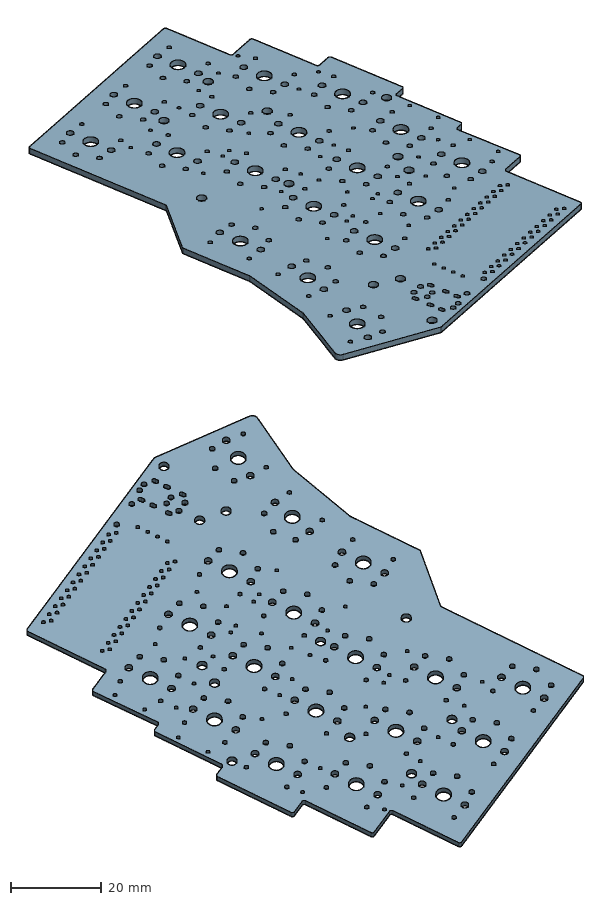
import cadquery as cq
import math


width = 112.4
depth = 88.7
thickness = 1.6

key_area_bottom = 23.4
first_column_top = 76.6
second_column_top = 84.3
fourth_column_top = 85.3
fifth_column_top_left = 82.7
fifth_column_top_right = 83.0
controller_top = 76.3

second_column_left = 18.0
third_column_left = 36.0
fourth_column_left = 56.0
fifth_column_left = 74.1
controller_left = 91.5

thumb_slope_top = (37.1, key_area_bottom)
thumb_area_bottom = 12.6
thumb_first_left = 48.9
thumb_second_left = 67.0
thumb_third_left = (84.4, 8.1)
controller_bottom = 21.2

corner_radius = 0.51
tip_radius = 1.3
tip_arc_centre_x = 99.0
tip_tilt = math.radians(30)
tip = (
    tip_arc_centre_x + tip_radius * (math.cos(tip_tilt) - math.sin(tip_tilt)),
    tip_radius * (1 - math.cos(tip_tilt) - math.sin(tip_tilt)),
)

column_bottom_ys = [33.0, 40.6, 45.0, 41.6, 39.2]
column_count = len(column_bottom_ys)
row_count = 3
first_column_x = 10.1
columns_span = 72.0
rows_span = 34.0
column_pitch = columns_span / (column_count - 1)
row_pitch = rows_span / (row_count - 1)

thumb_keys = [
    (58.0, 21.9, 180),
    (77.9, 19.3, 165),
    (96.4, 11.7, 150),
]

switch_post_diameter = 3.5
side_post_diameter = 1.7
side_post_span = 11.0
contact_diameter = 1.2
side_contact_span = 10.0
side_contact_drop = 3.8
centre_contact_drop = 5.8
anchor_diameter = 0.99
anchor_span = 10.5
anchor_rise = 4.2

diode_hole_diameter = 0.81
diode_span = 7.6
upright_diodes = [
    (19.2, 73.5), (19.2, 58.1), (18.7, 40.1),
    (37.2, 78.8), (37.2, 51.6), (37.2, 41.5),
    (55.2, 66.3), (55.1, 53.5), (55.2, 38.1),
    (73.0, 73.4), (73.3, 57.2), (73.3, 47.4), (73.3, 37.4),
]
level_diodes = [
    (64.6, 84.0), (63.5, 50.1), (82.6, 81.3), (82.2, 64.7), (81.6, 47.8),
]

pin_diameter = 0.81
pins_per_row = 12
pin_row_length = 28.0
pin_pitch = pin_row_length / (pins_per_row - 1)
pin_row_starts = [(93.8, 43.2), (95.1, 44.4), (109.0, 43.2), (110.3, 44.4)]
display_pin_count = 4
display_first_pin = (98.1, 39.3)

reset_hole_diameter = 1.2
reset_centre = (110.1, 37.9)
reset_span = 6.5

jack_y = 29.6
jack_hole_pairs = [(100.3, 2.6, 1.3), (103.6, 1.9, 1.2), (110.6, 1.9, 1.2)]
jack_slot_length = 1.6
jack_slot_width = 0.99
jack_slot_xs = [101.8, 105.9, 108.9]
jack_slot_span = 6.0

mount_diameter = 2.2
mount_points = [
    (19.1, 65.9), (19.1, 48.5), (36.0, 64.4), (42.0, 30.0), (55.0, 83.4), (55.0, 45.3),
    (69.2, 67.1), (74.1, 64.4), (91.3, 25.5), (95.0, 30.7), (109.4, 22.1),
]


def build_board():
    outline = [
        (0, key_area_bottom),
        (0, first_column_top),
        (second_column_left, first_column_top),
        (second_column_left, second_column_top),
        (third_column_left, second_column_top),
        (third_column_left, depth),
        (fourth_column_left, depth),
        (fourth_column_left, fourth_column_top),
        (fifth_column_left, fourth_column_top),
        (fifth_column_left, fifth_column_top_left),
        (controller_left, fifth_column_top_right),
        (controller_left, controller_top),
        (width, controller_top),
        (width, controller_bottom),
        tip,
        thumb_third_left,
        (thumb_second_left, thumb_area_bottom),
        (thumb_first_left, thumb_area_bottom),
        thumb_slope_top,
    ]
    board = cq.Workplane("XY").polyline(outline).close().extrude(thickness)
    for corner in outline:
        edge_middle = (corner[0], corner[1], thickness / 2)
        corner_edge = board.edges(cq.selectors.NearestToPointSelector(edge_middle))
        board = corner_edge.fillet(tip_radius if corner == tip else corner_radius)
    return board


def drill(board, points, diameter):
    drills = cq.Workplane("XY").pushPoints(points).circle(diameter / 2).extrude(thickness)
    return board.cut(drills)


def upright_pair(centre, span):
    x, y = centre
    return [(x, y - span / 2), (x, y + span / 2)]


def level_pair(centre, span):
    x, y = centre
    return [(x - span / 2, y), (x + span / 2, y)]


def at_key(key, points):
    """Turn and move points given relative to a key's centre onto the board."""
    x, y, angle = key
    cosine = math.cos(math.radians(angle))
    sine = math.sin(math.radians(angle))
    return [(x + cosine * u - sine * v, y + sine * u + cosine * v) for u, v in points]


def drill_keys(board):
    grid_keys = [
        (first_column_x + column * column_pitch, bottom_y + row * row_pitch, 0)
        for column, bottom_y in enumerate(column_bottom_ys)
        for row in range(row_count)
    ]
    side_posts = level_pair((0, 0), side_post_span)
    contacts = level_pair((0, -side_contact_drop), side_contact_span) + [(0, -centre_contact_drop)]
    anchors = level_pair((0, anchor_rise), anchor_span)
    for pattern, diameter in [
        ([(0, 0)], switch_post_diameter),
        (side_posts, side_post_diameter),
        (contacts, contact_diameter),
        (anchors, anchor_diameter),
    ]:
        points = [point for key in grid_keys + thumb_keys for point in at_key(key, pattern)]
        board = drill(board, points, diameter)
    return board


def drill_diodes(board):
    points = [point for centre in upright_diodes for point in upright_pair(centre, diode_span)]
    points += [point for centre in level_diodes for point in level_pair(centre, diode_span)]
    return drill(board, points, diode_hole_diameter)


def drill_headers(board):
    points = [(x, y + pin * pin_pitch) for x, y in pin_row_starts for pin in range(pins_per_row)]
    display_x, display_y = display_first_pin
    points += [(display_x + pin * pin_pitch, display_y) for pin in range(display_pin_count)]
    return drill(board, points, pin_diameter)


def drill_jack(board):
    for x, span, diameter in jack_hole_pairs:
        board = drill(board, upright_pair((x, jack_y), span), diameter)
    slot_points = [point for x in jack_slot_xs for point in upright_pair((x, jack_y), jack_slot_span)]
    slots = cq.Workplane("XY").pushPoints(slot_points).slot2D(jack_slot_length, jack_slot_width)
    return board.cut(slots.extrude(thickness))


result = build_board()
result = drill_keys(result)
result = drill_diodes(result)
result = drill_headers(result)
result = drill(result, upright_pair(reset_centre, reset_span), reset_hole_diameter)
result = drill_jack(result)
result = drill(result, mount_points, mount_diameter)